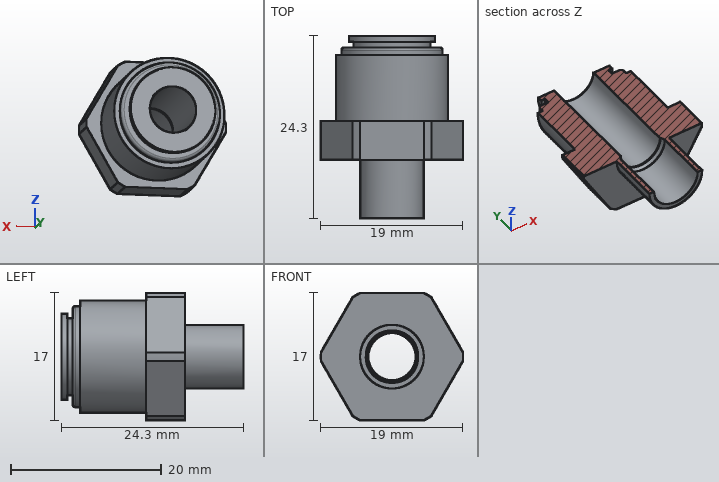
import cadquery as cq


SPIGOT_DIAMETER = 8.5
SPIGOT_LENGTH = 7.8

HEX_ACROSS_FLATS = 17.0
HEX_CORNER_DIAMETER = 19.0
HEX_LENGTH = 5.2
HEX_SIDES = 6
HEX_TURN_ANGLE = 180 / HEX_SIDES

BODY_DIAMETER = 15.0
BODY_LENGTH = 8.8

SHOULDER_DIAMETER = 13.5
SHOULDER_LENGTH = 1.0
SHOULDER_ROUND_RADIUS = 0.4

NECK_DIAMETER = 10.3
NECK_LENGTH = 0.7
COLLAR_DIAMETER = 11.5
COLLAR_LENGTH = 0.8

SPIGOT_BORE_DIAMETER = 7.0
BORE_CONE_END_DIAMETER = 6.5
BORE_CONE_LENGTH = 0.65
BORE_DIAMETER = 6.3

SPIGOT_TIP_Y = -SPIGOT_LENGTH
HEX_FRONT_Y = 0.0
BODY_Y = HEX_FRONT_Y + HEX_LENGTH
SHOULDER_Y = BODY_Y + BODY_LENGTH
NECK_Y = SHOULDER_Y + SHOULDER_LENGTH
COLLAR_Y = NECK_Y + NECK_LENGTH
REAR_Y = COLLAR_Y + COLLAR_LENGTH


def section_at(y):
    """Workplane across the axis at y, with local X along X and its normal along +Y."""
    return cq.Workplane(cq.Plane(origin=(0, y, 0), xDir=(1, 0, 0), normal=(0, 1, 0)))


def cylinder(diameter, start_y, end_y):
    return section_at(start_y).circle(diameter / 2).extrude(end_y - start_y)


def make_hexagon():
    """Hexagon with flats at the top and bottom, trimmed to the corner diameter."""
    outline = section_at(HEX_FRONT_Y).transformed(rotate=(0, 0, HEX_TURN_ANGLE))
    hexagon = outline.polygon(HEX_SIDES, HEX_ACROSS_FLATS, circumscribed=True).extrude(HEX_LENGTH)
    return hexagon.intersect(cylinder(HEX_CORNER_DIAMETER, HEX_FRONT_Y, BODY_Y))


def make_shoulder():
    shoulder = cylinder(SHOULDER_DIAMETER, SHOULDER_Y, NECK_Y)
    return shoulder.faces(">Y").edges().fillet(SHOULDER_ROUND_RADIUS)


def make_bore():
    spigot_bore = cylinder(SPIGOT_BORE_DIAMETER, SPIGOT_TIP_Y, HEX_FRONT_Y)
    narrow_bore = cylinder(BORE_DIAMETER, HEX_FRONT_Y, REAR_Y)
    cone = cq.Solid.makeCone(
        SPIGOT_BORE_DIAMETER / 2,
        BORE_CONE_END_DIAMETER / 2,
        BORE_CONE_LENGTH,
        pnt=cq.Vector(0, HEX_FRONT_Y, 0),
        dir=cq.Vector(0, 1, 0),
    )
    return spigot_bore.union(narrow_bore).union(cone)


spigot = cylinder(SPIGOT_DIAMETER, SPIGOT_TIP_Y, HEX_FRONT_Y)
body = cylinder(BODY_DIAMETER, BODY_Y, SHOULDER_Y)
neck = cylinder(NECK_DIAMETER, NECK_Y, COLLAR_Y)
collar = cylinder(COLLAR_DIAMETER, COLLAR_Y, REAR_Y)

result = (
    make_hexagon()
    .union(spigot)
    .union(body)
    .union(make_shoulder())
    .union(neck)
    .union(collar)
    .cut(make_bore())
)